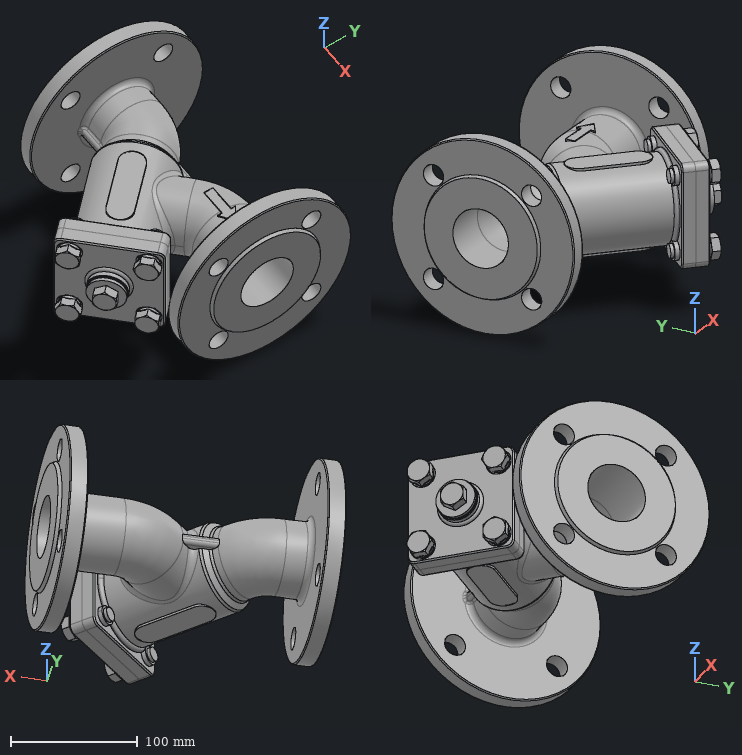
import cadquery as cq
import math


face_to_face = 230.0
pipe_diameter = 62.0
bore_diameter = 50.0
pipe_radius = pipe_diameter / 2
bore_radius = bore_diameter / 2
branch_angle = 45.0
elbow_radius = 41.0
inlet_bend_x = -74.9
outlet_bend_x = 55.1

flange_diameter = 165.0
flange_thickness = 18.0
flange_edge_chamfer = 1.0
raised_face_diameter = 102.0
raised_face_base_diameter = 105.0
raised_face_height = 3.0
flange_hub_fillet = 5.0
flange_hole_diameter = 18.0
flange_hole_circle = 125.0
flange_hole_count = 4
flange_hole_start_angle = 45.0

branch_diameter = 75.0
branch_radius = branch_diameter / 2
cone_end = 29.6
cone_angle = 50.0
branch_end = 123.8
cone_fillet = 3.0
branch_base_fillet = 3.0
branch_base_step = 1.0
branch_outlet_fillet = 6.0
chamber_diameter = 55.0

cover_side = 90.0
cover_corner_radius = 6.0
branch_flange_thickness = 11.5
cover_thickness = 12.2
cover_edge_chamfer = 1.2
joint_position = branch_end + branch_flange_thickness
cover_face = joint_position + cover_thickness

bolt_spacing = 64.0
hex_flats = 19.0
hex_sides = 6
hex_half_pitch = 180 / hex_sides
hex_corners = hex_flats / math.cos(math.radians(hex_half_pitch))
hex_turning_angle = 30.0
bolt_seat_diameter = 21.0
bolt_seat_depth = 1.0
bolt_washer_diameter = 18.0
bolt_washer_height = 2.2
bolt_head_height = 7.6
bolt_boss_diameter = 16.0
bolt_boss_height = 4.0
bolt_diameter = 12.0
bolt_end_height = 7.0

plug_boss_diameter = 34.0
plug_boss_height = 6.5
plug_boss_fillet = 2.5
plug_collar_diameter = 33.0
plug_collar_height = 3.5
plug_gasket_diameter = 32.0
plug_gasket_height = 1.5
plug_head_height = 8.2

rib_thickness = 9.0
rib_edge_radius = 3.3
rib_base_fillet = 2.4
inlet_rib_depth = 35.0
inlet_rib_end = -64.0
crotch_rib_top = 10.8
crotch_rib_bottom = -7.0
crotch_rib_start = -29.0
crotch_rib_end = 11.0
plate_length = 72.0
plate_width = 23.0
plate_centre = 76.6
plate_level = 38.0
arrow_start = 32.1
arrow_shoulder = 57.8
arrow_tip = 71.2
arrow_shaft_width = 8.6
arrow_head_width = 17.0
arrow_level = 31.5

half_length = face_to_face / 2
flange_back = half_length - flange_thickness
tangent_length = elbow_radius * math.tan(math.radians(branch_angle / 2))
branch_origin = (inlet_bend_x + tangent_length, 0, 0)
elbow_rise = elbow_radius * (1 - math.cos(math.radians(branch_angle)))
elbow_run = elbow_radius * math.sin(math.radians(branch_angle))
outlet_elbow_end = (outlet_bend_x - elbow_run, -elbow_rise)
outlet_stub_length = (outlet_elbow_end[0] + outlet_elbow_end[1] - branch_origin[0]) / math.sqrt(2)

branch_plane = cq.Plane(origin=branch_origin, xDir=(1, 1, 0), normal=(1, -1, 0))
outlet_stub_plane = cq.Plane(origin=(*outlet_elbow_end, 0), xDir=(1, -1, 0), normal=(-1, -1, 0))


def branch_at(position):
    """Workplane square to the branch axis at a distance along it."""
    return cq.Workplane(branch_plane).workplane(offset=position)


def branch_revolve(profile):
    """Turn a profile drawn as (radius, distance along the branch) about the branch axis."""
    plane = cq.Plane(origin=branch_origin, xDir=(1, 1, 0), normal=(0, 0, -1))
    return profile(cq.Workplane(plane)).close().revolve(360, (0, 0), (0, 1))


def elbow(bend_x, radius, turn):
    """Bend from the X axis towards -Y; turn -1 bends it towards +X from bend_x, +1 towards -X."""
    return (
        cq.Workplane("YZ", origin=(bend_x, 0, 0))
        .circle(radius)
        .revolve(branch_angle, (-elbow_radius, 0), (-elbow_radius, turn))
    )


def end_flange():
    """Inlet flange with its pipe, up to the inlet elbow, turned about X."""
    r_face = raised_face_diameter / 2
    r_base = raised_face_base_diameter / 2
    r_flange = flange_diameter / 2
    c = flange_edge_chamfer
    x_face = -half_length
    x_front = x_face + raised_face_height
    x_back = -flange_back
    holes = (
        cq.Workplane("YZ", origin=(x_face, 0, 0))
        .polarArray(flange_hole_circle / 2, flange_hole_start_angle, 360, flange_hole_count)
        .circle(flange_hole_diameter / 2)
        .extrude(flange_thickness)
    )
    return (
        cq.Workplane("XY")
        .moveTo(x_face, 0)
        .lineTo(x_face, r_face)
        .lineTo(x_front, r_base)
        .lineTo(x_front, r_flange - c)
        .lineTo(x_front + c, r_flange)
        .lineTo(x_back - c, r_flange)
        .lineTo(x_back, r_flange - c)
        .lineTo(x_back, pipe_radius + flange_hub_fillet)
        .radiusArc((x_back + flange_hub_fillet, pipe_radius), -flange_hub_fillet)
        .lineTo(x_back + flange_hub_fillet, 0)
        .close()
        .revolve(360, (0, 0), (1, 0))
        .cut(holes)
    )


def straight_pipe(x_start, x_end, radius):
    return cq.Workplane("YZ", origin=(x_start, 0, 0)).circle(radius).extrude(x_end - x_start)


def outlet_stub(radius):
    return cq.Workplane(outlet_stub_plane).circle(radius).extrude(outlet_stub_length)


def branch_body():
    """Neck, round-edged cone and strainer tube, with a fillet and low step at the branch flange."""
    angle = math.radians(cone_angle)
    cone_start = cone_end - (branch_radius - pipe_radius) / math.tan(angle)
    setback = cone_fillet * math.tan(angle / 2)
    along = setback * math.cos(angle)
    outward = setback * math.sin(angle)
    step_start = branch_end - branch_base_step
    return branch_revolve(
        lambda w: w.moveTo(0, tangent_length)
        .lineTo(pipe_radius, tangent_length)
        .lineTo(pipe_radius, cone_start - setback)
        .radiusArc((pipe_radius + outward, cone_start + along), -cone_fillet)
        .lineTo(branch_radius - outward, cone_end - along)
        .radiusArc((branch_radius, cone_end + setback), cone_fillet)
        .lineTo(branch_radius, step_start - branch_base_fillet)
        .radiusArc((branch_radius + branch_base_fillet, step_start), -branch_base_fillet)
        .lineTo(branch_radius + branch_base_fillet, branch_end)
        .lineTo(0, branch_end)
    )


def fillet_outlet_joint(body):
    """Round the seam where the outlet elbow meets the strainer tube."""
    return body.edges("%BSPLINE").fillet(branch_outlet_fillet)


def square_flange(position, thickness, chamfer_outer):
    """Rounded square plate, chamfered on its outer face or on the face towards the pipe."""
    return (
        branch_at(position)
        .rect(cover_side, cover_side)
        .extrude(thickness)
        .edges(cq.selectors.ParallelDirSelector(branch_plane.zDir))
        .fillet(cover_corner_radius)
        .faces(cq.selectors.DirectionMinMaxSelector(branch_plane.zDir, chamfer_outer))
        .chamfer(cover_edge_chamfer)
    )


def hex_head(centre, position, height, rotation):
    """Hexagon head whose outer corners are turned off by a cone."""
    head = (
        branch_at(position)
        .center(*centre)
        .transformed(rotate=(0, 0, rotation))
        .polygon(hex_sides, hex_corners)
        .extrude(height)
    )
    turned_length = (hex_corners - hex_flats) / 2
    turned = (
        branch_at(position)
        .center(*centre)
        .circle(hex_corners / 2)
        .extrude(height)
        .faces(cq.selectors.DirectionMinMaxSelector(branch_plane.zDir, True))
        .chamfer(turned_length * math.tan(math.radians(hex_turning_angle)), turned_length)
    )
    return head.intersect(turned)


def bolt_positions():
    half = bolt_spacing / 2
    return [(x, y) for x in (-half, half) for y in (-half, half)]


def cover():
    """Square cover with a shallow round seat under each bolt head."""
    seats = (
        branch_at(cover_face)
        .pushPoints(bolt_positions())
        .circle(bolt_seat_diameter / 2)
        .extrude(-bolt_seat_depth)
    )
    return square_flange(joint_position, cover_thickness, True).cut(seats)


def bolt_disc(diameter, start, end):
    """Round section repeated at every bolt position, between two distances along the branch."""
    return branch_at(start).pushPoints(bolt_positions()).circle(diameter / 2).extrude(end - start)


def cover_bolts():
    """Bolt heads on the cover, and their bosses and ends behind the branch flange."""
    head_start = cover_face + bolt_washer_height
    bolts = (
        bolt_disc(bolt_washer_diameter, cover_face - bolt_seat_depth, head_start)
        .union(bolt_disc(bolt_boss_diameter, branch_end - bolt_boss_height, branch_end))
        .union(bolt_disc(bolt_diameter, branch_end - bolt_end_height, branch_end))
    )
    for x, y in bolt_positions():
        rotation = 0 if x * y > 0 else hex_half_pitch
        bolts = bolts.union(hex_head((x, y), head_start, bolt_head_height, rotation))
    return bolts


def drain_plug():
    """Filleted cover boss, gasket, plug collar and hexagon head on the branch axis."""
    r_boss = plug_boss_diameter / 2
    gasket_start = cover_face + plug_boss_height
    collar_start = gasket_start + plug_gasket_height
    collar_end = collar_start + plug_collar_height
    boss = branch_revolve(
        lambda w: w.moveTo(0, cover_face)
        .lineTo(r_boss + plug_boss_fillet, cover_face)
        .radiusArc((r_boss, cover_face + plug_boss_fillet), -plug_boss_fillet)
        .lineTo(r_boss, gasket_start)
        .lineTo(0, gasket_start)
    )
    collar = branch_at(collar_start).circle(plug_collar_diameter / 2).extrude(plug_collar_height)
    gasket = branch_at(gasket_start).circle(plug_gasket_diameter / 2).extrude(plug_gasket_height)
    head = hex_head((0, 0), collar_end, plug_head_height, hex_half_pitch)
    return boss.union(gasket).union(collar).union(head)


def edge_rounded_rib(x_start, x_end, y_inner, y_outer):
    """Flat rib in the XY plane with a rounded outer edge along X."""
    length = x_end - x_start
    height = abs(y_outer - y_inner)
    outer_edges = "|X and >Y" if y_outer > y_inner else "|X and <Y"
    return (
        cq.Workplane("XY")
        .box(length, height, rib_thickness)
        .edges(outer_edges)
        .fillet(rib_edge_radius)
        .translate((x_start + length / 2, (y_inner + y_outer) / 2, 0))
    )


def add_inlet_rib(body):
    """Rib under the inlet pipe, filleted where its sides meet the pipe and elbow."""
    rib = edge_rounded_rib(-flange_back, inlet_rib_end, -bore_radius, -inlet_rib_depth)
    ribbed = body.union(rib)
    half_thickness = rib_thickness / 2
    seam_depth = math.sqrt(pipe_radius**2 - half_thickness**2)
    margin = 2.0
    seam_box = cq.selectors.BoxSelector(
        (-flange_back + margin, -seam_depth - margin, -half_thickness - margin),
        (inlet_rib_end, -seam_depth + margin, half_thickness + margin),
    )
    return ribbed.edges(seam_box).fillet(rib_base_fillet)


def name_plates():
    """Flat-topped obround pads on the upper and lower side of the strainer tube."""
    along = plate_centre / math.sqrt(2)
    return (
        cq.Workplane("XY", origin=(branch_origin[0] + along, -along, -plate_level))
        .transformed(rotate=(0, 0, -branch_angle))
        .slot2D(plate_length, plate_width)
        .extrude(2 * plate_level)
    )


def flow_arrow():
    half_shaft = arrow_shaft_width / 2
    half_head = arrow_head_width / 2
    return (
        cq.Workplane("XY")
        .polyline([
            (arrow_start, -half_shaft),
            (arrow_shoulder, -half_shaft),
            (arrow_shoulder, -half_head),
            (arrow_tip, 0),
            (arrow_shoulder, half_head),
            (arrow_shoulder, half_shaft),
            (arrow_start, half_shaft),
        ])
        .close()
        .extrude(arrow_level)
    )


def flow_passage():
    chamber_length = joint_position - tangent_length
    chamber = branch_at(tangent_length).circle(chamber_diameter / 2).extrude(chamber_length)
    return (
        straight_pipe(-half_length, inlet_bend_x, bore_radius)
        .union(elbow(inlet_bend_x, bore_radius, -1))
        .union(chamber)
        .union(outlet_stub(bore_radius))
        .union(elbow(outlet_bend_x, bore_radius, 1))
        .union(straight_pipe(outlet_bend_x, half_length, bore_radius))
    )


outlet_run = outlet_stub(pipe_radius).union(elbow(outlet_bend_x, pipe_radius, 1))
body = fillet_outlet_joint(branch_body().union(outlet_run))
body = (
    body.union(straight_pipe(-flange_back, inlet_bend_x, pipe_radius))
    .union(elbow(inlet_bend_x, pipe_radius, -1))
    .union(straight_pipe(outlet_bend_x, flange_back, pipe_radius))
    .union(end_flange())
    .union(end_flange().mirror("YZ"))
)
body = (
    add_inlet_rib(body)
    .union(edge_rounded_rib(crotch_rib_start, crotch_rib_end, crotch_rib_bottom, crotch_rib_top))
    .union(name_plates())
    .union(flow_arrow())
    .union(square_flange(branch_end, branch_flange_thickness, False))
    .cut(flow_passage())
)
result = (
    body.union(cover(), clean=False)
    .union(cover_bolts(), clean=False)
    .union(drain_plug(), clean=False)
)